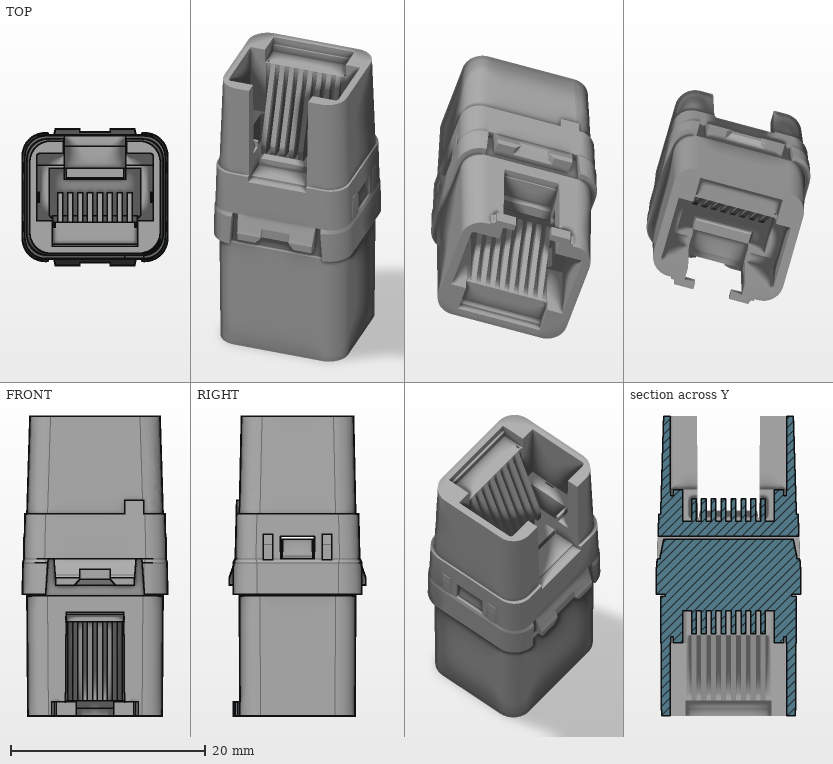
import cadquery as cq

TOTAL_HEIGHT = 30.9
MID_HEIGHT = TOTAL_HEIGHT / 2
LOWER_TOP = 12.4
RING_BOTTOM = 12.55
RING_SHOULDER = 15.82
COLLAR_BOTTOM = 16.22
COLLAR_TOP = 20.83

LOWER_BASE = (13.85, 11.87)
LOWER_END = (14.03, 12.0)
RING_BASE = (15.0, 13.25)
RING_END = (14.85, 13.23)
COLLAR_BASE = (14.62, 12.82)
COLLAR_END = (14.43, 12.6)
UPPER_BASE = LOWER_END
UPPER_END = (13.4, 11.55)
GAP_CORE = (13.1, 10.63)
CORNER_RADIUS = 2.1
RING_RADIUS = 2.4
GAP_RADIUS = 1.55

PANEL_Y = 5.62
PANEL_HALF_TOP = 4.82
PANEL_HALF_BOTTOM = 5.1
SNAP_TIP_Y = 7.05
SNAP_SHOULDER_Y = 6.92
SNAP_ROOT_Y = 6.35
SNAP_BOTTOM = 13.5
SNAP_TIP_TOP = 14.25
SNAP_SHOULDER = 14.55
SNAP_HALF_TOP = 4.23
SNAP_HALF_BOTTOM = 4.02
CATCH_HALF = 1.55
CATCH_Y = 6.75
CATCH_BOTTOM = 14.12
CATCH_HALF_BOTTOM = 2.1
CATCH_UNDERCUT = 0.55

WINDOW_HALF = 1.73
WINDOW_TOP = 18.5
WINDOW_DEPTH = 0.62
SIDE_LATCH_HALF = 1.55
SIDE_LATCH_TOP = 18.23
SIDE_LATCH_KNEE = 16.5
SIDE_LATCH_PROUD_X = 7.05
SLIT_BOTTOM = 16.95
BUMP_INNER_Y = 2.53
BUMP_WIDTH = 1.0
BUMP_BOTTOM = 16.1
BUMP_KNEE = 17.7
BUMP_TOP = 18.75
BUMP_X = 7.35
BUMP_TOP_X = 7.3
BUMP_ROOT = 0.3

TAB_LEFT = 3.05
TAB_RIGHT = 5.05
TAB_TOP = 22.25

FOOT_INNER = 1.92
FOOT_FACE_EDGE = 4.0
FOOT_OUTER = 4.45
FOOT_STEP_X = 4.17
FOOT_STEP_Y = 6.15
FOOT_BEVEL_Y = 6.4
FOOT_FRONT_Y = 6.6
FOOT_HEIGHT = 1.48
FOOT_ROOT = 0.3

MOUTH_HALF = 6.0
MOUTH_FRONT = -2.4
MOUTH_BACK = 4.5
MOUTH_CORNER = 0.3
MOUTH_FLOOR = 23.35
BACK_LEDGE_Y = 3.28
BACK_LEDGE_Z = 22.65
PLUG_HALF = 4.7
PLUG_FRONT = -1.9
PLUG_BACK = 3.0
PLUG_NECK_HALF = 4.33
PLUG_NECK_FRONT = -2.55
PLUG_FLOOR = 20.1
SLOT_FLOOR = 20.2
SLOT_STEP_Y = 5.25
SLOT_STEP_Z = 20.4
SLOT_DRAFT = 0.1
KEY_STOP_FRONT = 1.85
KEY_STOP_DRAFT = 0.22
KEY_STOP_CHAMFER = 0.12
CONTACT_FOOT_Z = 21.2
NOTCH_HALF = 4.42
NOTCH_FRONT = -5.07
NOTCH_STEP_Z = 30.07
NOTCH_STEP_Y = -4.85
TONGUE_Z = 29.3
UPPER_SLOT_HALF = 3.25
LOWER_SLOT_HALF = 3.05
CONTACT_COUNT = 8
CONTACT_PITCH = 1.02
CONTACT_WIDTH = 0.53
CONTACT_TIP_Y = 0.45
BASE_STRIP_Y = -1.92
FLOOR_SLIT_X = 5.72
FLOOR_SLIT_WIDTH = 0.2
FLOOR_SLIT_HALF = 0.53
FLOOR_SLIT_DEPTH = 0.62
TONGUE_PIT_X = 4.08
TONGUE_PIT_WIDTH = 0.2
TONGUE_PIT_FRONT = -3.1
TONGUE_PIT_BACK = -2.72
TONGUE_PIT_DEPTH = 0.62

SPAN = 18.55


def box(x0, x1, y0, y1, z0, z1):
    return cq.Workplane("XY").box(x1 - x0, y1 - y0, z1 - z0, centered=False).translate((x0, y0, z0))


def rounded_outline(size, radius):
    return cq.Sketch().rect(*size).vertices().fillet(radius)


def shell(base, end, z0, z1, base_radius=CORNER_RADIUS, end_radius=CORNER_RADIUS):
    """Drafted block with rounded corners between two heights."""
    lower = rounded_outline(base, base_radius)
    upper = rounded_outline(end, end_radius).moved(cq.Location(cq.Vector(0, 0, z1 - z0)))
    return cq.Workplane("XY").placeSketch(lower, upper).loft().translate((0, 0, z0))


def trapezoid_block(half_bottom, half_top, z0, z1, y0, y1):
    """Trapezoid seen along Y, extruded from y0 to y1."""
    points = [(-half_bottom, z0), (half_bottom, z0), (half_top, z1), (-half_top, z1)]
    return cq.Workplane("XZ").polyline(points).close().extrude(y0 - y1).translate((0, y0, 0))


def both_sides(solid, plane):
    return solid.union(solid.mirror(plane))


def profile_along_x(points, x0, x1):
    """Profile of (y, z) points extruded along X."""
    return cq.Workplane("YZ").polyline(points).close().extrude(x1 - x0).translate((x0, 0, 0))


def collar():
    """Drafted collar; its -Y face carries on upward as the key tab."""
    growth = (TAB_TOP - COLLAR_BOTTOM) / (COLLAR_TOP - COLLAR_BOTTOM)
    tab_end = tuple(base + (end - base) * growth for base, end in zip(COLLAR_BASE, COLLAR_END))
    blank = shell(COLLAR_BASE, tab_end, COLLAR_BOTTOM, TAB_TOP)
    half = SPAN / 2
    waste = box(-half, half, -half, half, COLLAR_TOP, TAB_TOP)
    tab_zone = box(TAB_LEFT, TAB_RIGHT, -half, -UPPER_END[1] / 2, COLLAR_TOP, TAB_TOP)
    return blank.cut(waste.cut(tab_zone))


def outer_body():
    body = shell(LOWER_BASE, LOWER_END, 0, LOWER_TOP)
    body = body.union(shell(GAP_CORE, GAP_CORE, LOWER_TOP, RING_BOTTOM, GAP_RADIUS, GAP_RADIUS))
    body = body.union(shell(RING_BASE, RING_END, RING_BOTTOM, RING_SHOULDER, RING_RADIUS, RING_RADIUS))
    body = body.union(shell(RING_END, COLLAR_BASE, RING_SHOULDER, COLLAR_BOTTOM, RING_RADIUS))
    body = body.union(collar())
    return body.union(shell(UPPER_BASE, UPPER_END, COLLAR_TOP, TOTAL_HEIGHT))


def snap():
    """Ramped snap on the -Y panel, relieved in the middle."""
    profile = [
        (-PANEL_Y, SNAP_BOTTOM),
        (-SNAP_TIP_Y, SNAP_BOTTOM),
        (-SNAP_TIP_Y, SNAP_TIP_TOP),
        (-SNAP_SHOULDER_Y, SNAP_SHOULDER),
        (-SNAP_ROOT_Y, COLLAR_BOTTOM),
        (-PANEL_Y, COLLAR_BOTTOM),
    ]
    ramp = profile_along_x(profile, -SPAN / 2, SPAN / 2)
    ramp = ramp.intersect(
        trapezoid_block(SNAP_HALF_BOTTOM, SNAP_HALF_TOP, SNAP_BOTTOM, COLLAR_BOTTOM, -SPAN / 2, 0)
    )
    relief = box(-CATCH_HALF, CATCH_HALF, -SPAN / 2, -CATCH_Y, CATCH_BOTTOM, COLLAR_BOTTOM)
    undercut_profile = [
        (-SPAN / 2, CATCH_BOTTOM),
        (-CATCH_Y, CATCH_BOTTOM),
        (-CATCH_Y + CATCH_UNDERCUT, SNAP_BOTTOM),
        (-SPAN / 2, SNAP_BOTTOM),
    ]
    undercut = profile_along_x(undercut_profile, -SPAN / 2, SPAN / 2)
    undercut = undercut.intersect(
        trapezoid_block(CATCH_HALF_BOTTOM, CATCH_HALF, SNAP_BOTTOM, CATCH_BOTTOM, -SPAN / 2, 0)
    )
    return ramp.cut(relief).cut(undercut)


def add_snap_panels(body):
    recess = trapezoid_block(
        PANEL_HALF_BOTTOM, PANEL_HALF_TOP, LOWER_TOP, COLLAR_BOTTOM, -SPAN / 2, -PANEL_Y
    )
    gap_filler = box(-PANEL_HALF_BOTTOM, PANEL_HALF_BOTTOM, -PANEL_Y, PANEL_Y, LOWER_TOP, RING_BOTTOM)
    body = body.cut(both_sides(recess, "XZ")).union(gap_filler)
    return body.union(both_sides(snap(), "XZ"))


def add_side_windows(body):
    collar_half = COLLAR_BASE[0] / 2
    window_floor = collar_half - WINDOW_DEPTH
    pocket = box(-SPAN / 2, -window_floor, -WINDOW_HALF, WINDOW_HALF, COLLAR_BOTTOM, WINDOW_TOP)
    slit = box(-SPAN / 2, SPAN / 2, -WINDOW_HALF, WINDOW_HALF, SLIT_BOTTOM, WINDOW_TOP)
    core = box(
        -window_floor, window_floor, -SIDE_LATCH_HALF, SIDE_LATCH_HALF, SLIT_BOTTOM, SIDE_LATCH_TOP
    )
    latch_profile = [
        (-window_floor, COLLAR_BOTTOM),
        (-SIDE_LATCH_PROUD_X, COLLAR_BOTTOM),
        (-SIDE_LATCH_PROUD_X, SIDE_LATCH_KNEE),
        (-window_floor, SIDE_LATCH_TOP),
    ]
    latch = cq.Workplane("XZ").polyline(latch_profile).close().extrude(SIDE_LATCH_HALF, both=True)
    body = body.cut(both_sides(pocket, "YZ")).cut(slit.cut(core))
    return body.union(both_sides(latch, "YZ"))


def add_side_bumps(body):
    inside_x = COLLAR_END[0] / 2 - BUMP_ROOT
    profile = [
        (-inside_x, BUMP_BOTTOM),
        (-BUMP_X, BUMP_BOTTOM),
        (-BUMP_X, BUMP_KNEE),
        (-BUMP_TOP_X, BUMP_TOP),
        (-inside_x, BUMP_TOP),
    ]
    bump = cq.Workplane("XZ").polyline(profile).close().extrude(-BUMP_WIDTH)
    bump = bump.translate((0, BUMP_INNER_Y, 0))
    return body.union(both_sides(both_sides(bump, "XZ"), "YZ"))


def contact(x_centre):
    """Sloping contact blade running down from the tongue into the port."""
    profile = [
        (PLUG_NECK_FRONT, TONGUE_Z),
        (CONTACT_TIP_Y, CONTACT_FOOT_Z),
        (CONTACT_TIP_Y, PLUG_FLOOR),
        (PLUG_NECK_FRONT, PLUG_FLOOR),
    ]
    return profile_along_x(profile, x_centre - CONTACT_WIDTH / 2, x_centre + CONTACT_WIDTH / 2)


def port_cavity(slot_half):
    """Void of the upper plug port, open at the top and through the back wall."""
    top = TOTAL_HEIGHT
    mouth = box(-MOUTH_HALF, MOUTH_HALF, MOUTH_FRONT, MOUTH_BACK, MOUTH_FLOOR, top)
    mouth = mouth.union(box(-MOUTH_HALF, MOUTH_HALF, BACK_LEDGE_Y, MOUTH_BACK, BACK_LEDGE_Z, top))
    mouth = mouth.edges("|Z and >Y").fillet(MOUTH_CORNER)

    neck_slope = PLUG_HALF - PLUG_NECK_HALF
    plug_outline = [
        (-PLUG_HALF, PLUG_BACK),
        (PLUG_HALF, PLUG_BACK),
        (PLUG_HALF, PLUG_FRONT),
        (PLUG_NECK_HALF, PLUG_FRONT - neck_slope),
        (PLUG_NECK_HALF, PLUG_NECK_FRONT),
        (-PLUG_NECK_HALF, PLUG_NECK_FRONT),
        (-PLUG_NECK_HALF, PLUG_FRONT - neck_slope),
        (-PLUG_HALF, PLUG_FRONT),
    ]
    plug = cq.Workplane("XY").polyline(plug_outline).close().extrude(top - PLUG_FLOOR)
    plug = plug.translate((0, 0, PLUG_FLOOR))

    slot = trapezoid_block(slot_half - SLOT_DRAFT, slot_half, SLOT_FLOOR, top, PLUG_BACK, SPAN / 2)
    slot_step = box(-slot_half, slot_half, PLUG_BACK, SLOT_STEP_Y, SLOT_FLOOR, SLOT_STEP_Z)

    notch = box(-NOTCH_HALF, NOTCH_HALF, NOTCH_STEP_Y, PLUG_FRONT, TONGUE_Z, top)
    notch = notch.union(box(-NOTCH_HALF, NOTCH_HALF, NOTCH_FRONT, PLUG_FRONT, NOTCH_STEP_Z, top))

    key_half = UPPER_SLOT_HALF - SLOT_DRAFT
    key_stop = trapezoid_block(
        key_half, key_half - KEY_STOP_DRAFT, PLUG_FLOOR, CONTACT_FOOT_Z, KEY_STOP_FRONT, PLUG_BACK
    )
    key_stop = key_stop.faces(">Z").edges("<Y").chamfer(KEY_STOP_CHAMFER)
    base_strip = box(
        -PLUG_NECK_HALF, PLUG_NECK_HALF, PLUG_NECK_FRONT, BASE_STRIP_Y, PLUG_FLOOR, CONTACT_FOOT_Z
    )

    slit_edge = FLOOR_SLIT_X + FLOOR_SLIT_WIDTH
    slit_floor = MOUTH_FLOOR - FLOOR_SLIT_DEPTH
    slit = box(FLOOR_SLIT_X, slit_edge, -FLOOR_SLIT_HALF, FLOOR_SLIT_HALF, slit_floor, MOUTH_FLOOR)
    pit_edge = TONGUE_PIT_X + TONGUE_PIT_WIDTH
    pit_floor = TONGUE_Z - TONGUE_PIT_DEPTH
    pit = box(TONGUE_PIT_X, pit_edge, TONGUE_PIT_FRONT, TONGUE_PIT_BACK, pit_floor, TONGUE_Z)
    relief = both_sides(slit.union(pit), "YZ")

    cavity = mouth.union(plug).union(slot.cut(slot_step)).union(notch)
    cavity = cavity.union(relief).cut(key_stop).cut(base_strip)
    for index in range(CONTACT_COUNT):
        cavity = cavity.cut(contact((index - (CONTACT_COUNT - 1) / 2) * CONTACT_PITCH))
    return cavity


def feet():
    wall_y = -LOWER_BASE[1] / 2
    outline = [
        (FOOT_INNER, wall_y),
        (FOOT_INNER, -FOOT_FRONT_Y),
        (FOOT_FACE_EDGE, -FOOT_FRONT_Y),
        (FOOT_FACE_EDGE, -FOOT_BEVEL_Y),
        (FOOT_STEP_X, -FOOT_STEP_Y),
        (FOOT_OUTER, -FOOT_STEP_Y),
        (FOOT_OUTER, wall_y + FOOT_ROOT),
        (LOWER_SLOT_HALF, wall_y + FOOT_ROOT),
        (LOWER_SLOT_HALF, wall_y),
    ]
    foot = cq.Workplane("XY").polyline(outline).close().extrude(FOOT_HEIGHT)
    return both_sides(foot, "YZ")


body = add_snap_panels(outer_body())
body = add_side_windows(body)
body = add_side_bumps(body)
body = body.cut(port_cavity(UPPER_SLOT_HALF))
lower_port = port_cavity(LOWER_SLOT_HALF).rotate((0, 0, MID_HEIGHT), (1, 0, MID_HEIGHT), 180)
body = body.cut(lower_port)
result = body.union(feet())